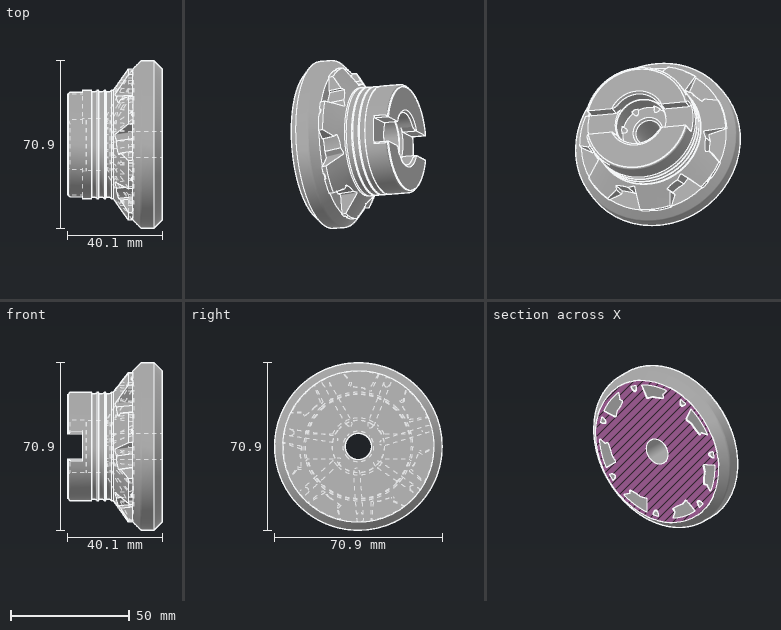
import cadquery as cq
import math

LENGTH = 40.05
RIM_RADIUS = 35.47
HUB_RADIUS = 23.0
TOOTH_RADIUS = 32.0

SPIGOT_RADIUS = 22.0
SPIGOT_LENGTH = 0.5
NOSE_RADIUS = HUB_RADIUS - SPIGOT_RADIUS

GROOVE_COUNT = 3
GROOVE_PITCH = 3.0
GROOVE_DEPTH = 0.65
GROOVE_FLANK = 0.35
GROOVE_FLOOR = 1.0
GROOVE_HOLLOW = 1.15
FIRST_GROOVE_X = 10.05

CONE_START_X = 19.35
SHOULDER_X = 25.7
TOOTH_COUNT = 7

RIM_FRONT_X = 27.44
RIM_EDGE_X = 31.15
RIM_FRONT_RADIUS = RIM_RADIUS - (RIM_EDGE_X - RIM_FRONT_X)
RIM_BACK_CHAMFER = RIM_RADIUS - TOOTH_RADIUS
RIM_EDGE_FILLET = 1.2
DISH_DEPTH = 0.8
DISH_RADIUS = 23.0

BORE_RADIUS = 11.0
BORE_FLOOR_X = 18.0
BORE_CHAMFER = 1.0
ENTRY_RADIUS = 11.1
ENTRY_DEPTH = 7.8
ENTRY_TAPER = 0.3
THROUGH_RADIUS = 5.5
THROUGH_CHAMFER = 1.0

SLOT_WIDTH = 10.5
SLOT_DEPTH = 6.25
SLOT_FLARE_SIZE = 1.7
SLOT_FLARE_START = 21.4
BORE_FLARE_HEIGHT = 1.75
BORE_FLARE_START = 10.65
BORE_FLARE_END = 8.45

POCKET_LEAN = 8.4
POCKET_FRONT_X = 18.0
POCKET_BACK_X = 30.0
POCKET_FILLET = 0.5

COOLANT_DIAMETER = 2.8
COOLANT_INNER_RADIUS = 12.1
COOLANT_INNER_ANGLE = 67.2
COOLANT_OUTER_ANGLE = 62.8
COOLANT_OUTER_X = 28.5
COOLANT_OVERRUN = 5.6

AXIS_START = (0, 0, 0)
AXIS_END = (1, 0, 0)


def face_plane(x):
    """Plane square to the axis at x: local x runs along -Y, local y along +Z."""
    return cq.Plane(origin=(x, 0, 0), xDir=(0, -1, 0), normal=(-1, 0, 0))


def revolve(profile):
    return profile.close().revolve(360, AXIS_START, AXIS_END)


def around_axis(shape):
    """Copies of a shape, one for each tooth."""
    step = 360 / TOOTH_COUNT
    return [shape.rotate(AXIS_START, AXIS_END, step * i) for i in range(TOOTH_COUNT)]


def make_hub_and_cone():
    bend = NOSE_RADIUS * math.sqrt(0.5)
    nose_end_x = SPIGOT_LENGTH + NOSE_RADIUS
    profile = (
        cq.Workplane("XY")
        .lineTo(0, SPIGOT_RADIUS)
        .lineTo(SPIGOT_LENGTH, SPIGOT_RADIUS)
        .threePointArc((nose_end_x - bend, SPIGOT_RADIUS + bend), (nose_end_x, HUB_RADIUS))
    )
    floor_radius = HUB_RADIUS - GROOVE_DEPTH
    for i in range(GROOVE_COUNT):
        start = FIRST_GROOVE_X + i * GROOVE_PITCH
        floor_start = start + GROOVE_FLANK
        floor_end = floor_start + GROOVE_FLOOR
        profile = (
            profile.lineTo(start, HUB_RADIUS)
            .lineTo(floor_start, floor_radius)
            .lineTo(floor_end, floor_radius)
            .tangentArcPoint((floor_end + GROOVE_HOLLOW, HUB_RADIUS), relative=False)
        )
    profile = (
        profile.lineTo(CONE_START_X, HUB_RADIUS)
        .lineTo(SHOULDER_X, TOOTH_RADIUS)
        .lineTo(LENGTH, TOOTH_RADIUS)
        .lineTo(LENGTH, 0)
    )
    return revolve(profile)


def make_rim():
    rim = revolve(
        cq.Workplane("XY")
        .moveTo(RIM_FRONT_X + DISH_DEPTH, DISH_RADIUS)
        .lineTo(RIM_FRONT_X, RIM_FRONT_RADIUS)
        .lineTo(RIM_EDGE_X, RIM_RADIUS)
        .lineTo(LENGTH - RIM_BACK_CHAMFER, RIM_RADIUS)
        .lineTo(LENGTH, TOOTH_RADIUS)
        .lineTo(LENGTH, DISH_RADIUS)
    )
    edge = cq.selectors.NearestToPointSelector((RIM_EDGE_X, 0, 0))
    return rim.edges(edge).fillet(RIM_EDGE_FILLET)


def make_pocket():
    wall_top = (36.0, 2.47)
    root_corner = (23.77, -0.31)
    ridge = (24.6, -3.3)
    hollow = (24.2, -6.3)
    relief = (24.2, -9.2)
    seat = (25.7, -9.05)
    seat_top = (32.0, -17.7)
    slope = math.tan(math.radians(POCKET_LEAN))
    length = POCKET_BACK_X - POCKET_FRONT_X
    outline = (
        cq.Workplane(face_plane(SHOULDER_X))
        .moveTo(*wall_top)
        .lineTo(*root_corner)
        .lineTo(*ridge)
        .threePointArc(hollow, relief)
        .lineTo(*seat)
        .lineTo(*seat_top)
        .close()
        .val()
    )
    front_shift = POCKET_FRONT_X - SHOULDER_X
    front = outline.translate(cq.Vector(front_shift, 0, front_shift * slope))
    prism = cq.Solid.extrudeLinear(front, [], cq.Vector(length, 0, length * slope))
    root_edge = cq.selectors.NearestToPointSelector((
        (POCKET_FRONT_X + POCKET_BACK_X) / 2,
        -root_corner[0],
        root_corner[1] + (front_shift + length / 2) * slope,
    ))
    return cq.Workplane(prism).edges(root_edge).fillet(POCKET_FILLET)


def polar_point(x, radius, angle):
    """Point at an angle measured from -Y towards +Z."""
    turn = math.radians(angle)
    return cq.Vector(x, -radius * math.cos(turn), radius * math.sin(turn))


def make_coolant_hole():
    start = polar_point(BORE_FLOOR_X, COOLANT_INNER_RADIUS, COOLANT_INNER_ANGLE)
    end = polar_point(COOLANT_OUTER_X, TOOTH_RADIUS, COOLANT_OUTER_ANGLE)
    run = end - start
    overrun = run.normalized() * COOLANT_OVERRUN
    hole = cq.Solid.makeCylinder(
        COOLANT_DIAMETER / 2, run.Length + 2 * COOLANT_OVERRUN, start - overrun, run
    )
    return cq.Workplane(hole)


def make_bore():
    return revolve(
        cq.Workplane("XY")
        .lineTo(0, ENTRY_RADIUS + BORE_CHAMFER)
        .lineTo(BORE_CHAMFER, ENTRY_RADIUS)
        .lineTo(ENTRY_DEPTH, ENTRY_RADIUS)
        .lineTo(ENTRY_DEPTH + ENTRY_TAPER, BORE_RADIUS)
        .lineTo(BORE_FLOOR_X, BORE_RADIUS)
        .lineTo(BORE_FLOOR_X, THROUGH_RADIUS + THROUGH_CHAMFER)
        .lineTo(BORE_FLOOR_X + THROUGH_CHAMFER, THROUGH_RADIUS)
        .lineTo(LENGTH, THROUGH_RADIUS)
        .lineTo(LENGTH, 0)
    )


def extrude_from_front(outline):
    return outline.close().extrude(-SLOT_DEPTH)


def make_drive_slot():
    half = SLOT_WIDTH / 2
    slot = cq.Workplane(face_plane(0)).rect(2 * HUB_RADIUS, SLOT_WIDTH).extrude(-SLOT_DEPTH)

    flare_end = SLOT_FLARE_START + SLOT_FLARE_SIZE
    for side in (-1, 1):
        flare = extrude_from_front(
            cq.Workplane(face_plane(0))
            .moveTo(side * SLOT_FLARE_START, half)
            .lineTo(side * flare_end, half + SLOT_FLARE_SIZE)
            .lineTo(side * flare_end, -half - SLOT_FLARE_SIZE)
            .lineTo(side * SLOT_FLARE_START, -half)
        )
        slot = slot.union(flare)

    bore_flare = extrude_from_front(
        cq.Workplane(face_plane(0))
        .moveTo(BORE_FLARE_START, half)
        .lineTo(BORE_FLARE_END, half + BORE_FLARE_HEIGHT)
        .lineTo(-BORE_FLARE_END, half + BORE_FLARE_HEIGHT)
        .lineTo(-BORE_FLARE_START, half)
        .lineTo(-BORE_FLARE_START, -half)
        .lineTo(-BORE_FLARE_END, -half - BORE_FLARE_HEIGHT)
        .lineTo(BORE_FLARE_END, -half - BORE_FLARE_HEIGHT)
        .lineTo(BORE_FLARE_START, -half)
    )
    return slot.union(bore_flare)


body = make_hub_and_cone()
for pocket in around_axis(make_pocket()):
    body = body.cut(pocket)
for hole in around_axis(make_coolant_hole()):
    body = body.cut(hole)

result = body.union(make_rim()).cut(make_bore()).cut(make_drive_slot())